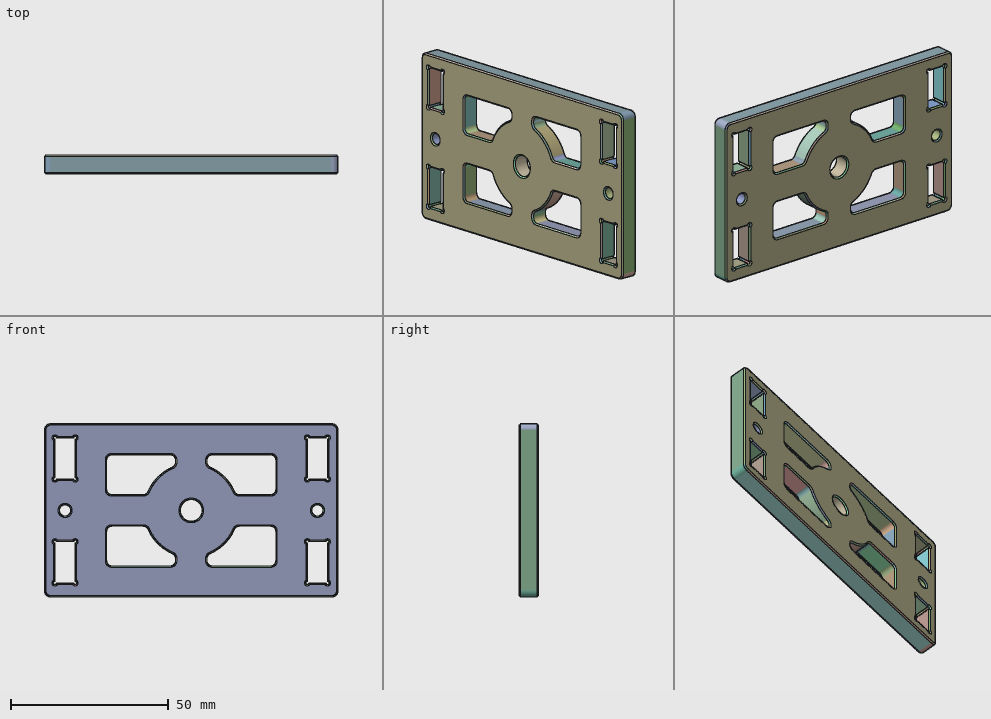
import cadquery as cq

LENGTH = 93.0
HEIGHT = 55.0
THICKNESS = 6.0
CORNER_RADIUS = 1.95
EDGE_CHAMFER = 0.5

CENTER_HOLE_RADIUS = 3.4
SIDE_HOLE_RADIUS = 1.8
SIDE_SPACING = 40.0

SLOT_WIDTH = 6.4
SLOT_HEIGHT = 13.1
SLOT_OFFSET_Z = 16.5
RELIEF_RADIUS = 0.5

HUB_RADIUS = 15.0
WINDOW_INNER_X = 5.0
WINDOW_OUTER_X = 26.8
WINDOW_BOTTOM_Z = 5.0
WINDOW_TOP_Z = 17.6
WINDOW_FILLET = 1.6

QUADRANTS = [(1, 1), (-1, 1), (-1, -1), (1, -1)]


def prism(width, height, x=0.0, z=0.0):
    """Rectangular block through the plate thickness, centred on (x, z)."""
    return cq.Workplane("XY").box(width, THICKNESS, height).translate((x, 0, z))


def cylinder(radius, x=0.0, z=0.0):
    """Round bar through the plate thickness, centred on (x, z)."""
    bar = cq.Workplane("XZ").circle(radius).extrude(THICKNESS / 2, both=True)
    return bar.translate((x, 0, z))


def window(side_x, side_z):
    """Rounded rectangular opening whose inner corner is cut away by the hub."""
    opening = prism(
        WINDOW_OUTER_X - WINDOW_INNER_X,
        WINDOW_TOP_Z - WINDOW_BOTTOM_Z,
        side_x * (WINDOW_OUTER_X + WINDOW_INNER_X) / 2,
        side_z * (WINDOW_TOP_Z + WINDOW_BOTTOM_Z) / 2,
    )
    return opening.cut(cylinder(HUB_RADIUS)).edges("|Y").fillet(WINDOW_FILLET)


def strap_slot(side_x, side_z):
    """Rectangular slot with a round relief centred on each corner."""
    slot_x = side_x * SIDE_SPACING
    slot_z = side_z * SLOT_OFFSET_Z
    slot = prism(SLOT_WIDTH, SLOT_HEIGHT, slot_x, slot_z)
    for corner_x, corner_z in QUADRANTS:
        slot = slot.union(
            cylinder(
                RELIEF_RADIUS,
                slot_x + corner_x * SLOT_WIDTH / 2,
                slot_z + corner_z * SLOT_HEIGHT / 2,
            )
        )
    return slot


plate = prism(LENGTH, HEIGHT).edges("|Y").fillet(CORNER_RADIUS)

plate = plate.cut(cylinder(CENTER_HOLE_RADIUS))
for side in (-1, 1):
    plate = plate.cut(cylinder(SIDE_HOLE_RADIUS, side * SIDE_SPACING))

for side_x, side_z in QUADRANTS:
    plate = plate.cut(window(side_x, side_z))
    plate = plate.cut(strap_slot(side_x, side_z))

result = plate.faces("<Y or >Y").edges().chamfer(EDGE_CHAMFER)